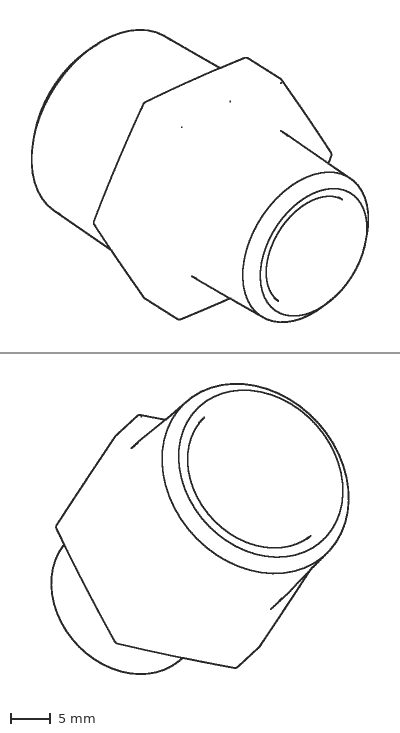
import cadquery as cq
import math

LENGTH = 41.0

EDGE_RADIUS = 0.5
END_CHAMFER = 1.55

RADIUS_TAPER = 1 / 32

HEX_WIDTH = 29.0
HEX_START = 17.8
HEX_END = 24.95
HEX_FACE_SLOPE = math.radians(5)
HEX_CORNER_RADIUS = HEX_WIDTH / math.sqrt(3)
HEX_MIDDLE = (HEX_START + HEX_END) / 2

LARGE_RADIUS = 13.32
LARGE_TAPER_END = 13.9

SMALL_RADIUS = 10.65
SMALL_TAPER_START = 27.43

LARGE_BORE_RADIUS = 9.95
SMALL_BORE_RADIUS = 7.5
BORE_STEP = HEX_MIDDLE


def revolve_about_x(profile):
    """Turn a closed XZ profile a full turn around the X axis."""
    return profile.close().revolve(360, (0, 0, 0), (1, 0, 0))


def male_end(end, taper_start, root, radius):
    """Chamfered end, tapered thread length and plain neck running up to root."""
    inward = math.copysign(1, root - end)
    chamfer_start = end + inward * END_CHAMFER
    tip_radius = radius - abs(taper_start - chamfer_start) * RADIUS_TAPER
    profile = (
        cq.Workplane("XZ")
        .moveTo(end, 0)
        .lineTo(end, tip_radius - END_CHAMFER)
        .lineTo(chamfer_start, tip_radius)
        .lineTo(taper_start, radius)
        .lineTo(root, radius)
        .lineTo(root, 0)
    )
    return revolve_about_x(profile)


def hexagon_collar():
    """Hexagon, flats up and down, with slightly conical end faces and rounded edges."""
    prism = (
        cq.Workplane("YZ")
        .workplane(offset=HEX_START - HEX_CORNER_RADIUS)
        .polygon(6, 2 * HEX_CORNER_RADIUS)
        .extrude(HEX_END - HEX_START + 2 * HEX_CORNER_RADIUS)
    )
    cone_rise = HEX_CORNER_RADIUS * math.tan(HEX_FACE_SLOPE)
    faces_profile = (
        cq.Workplane("XZ")
        .moveTo(HEX_START - cone_rise, 0)
        .lineTo(HEX_START, HEX_CORNER_RADIUS)
        .lineTo(HEX_END, HEX_CORNER_RADIUS)
        .lineTo(HEX_END + cone_rise, 0)
    )
    collar = prism.intersect(revolve_about_x(faces_profile))
    return collar.faces("%PLANE").edges().fillet(EDGE_RADIUS)


def stepped_bore():
    """Large bore up to the step, small bore onwards, with rounded mouths and step corners."""
    r = EDGE_RADIUS
    profile = (
        cq.Workplane("XZ")
        .lineTo(0, LARGE_BORE_RADIUS + r)
        .radiusArc((r, LARGE_BORE_RADIUS), -r)
        .lineTo(BORE_STEP - r, LARGE_BORE_RADIUS)
        .radiusArc((BORE_STEP, LARGE_BORE_RADIUS - r), r)
        .lineTo(BORE_STEP, SMALL_BORE_RADIUS + r)
        .radiusArc((BORE_STEP + r, SMALL_BORE_RADIUS), -r)
        .lineTo(LENGTH - r, SMALL_BORE_RADIUS)
        .radiusArc((LENGTH, SMALL_BORE_RADIUS + r), -r)
        .lineTo(LENGTH, 0)
    )
    return revolve_about_x(profile)


def neck_root_circles():
    """Selector for the two circles where the necks meet the hexagon collar."""
    reach = LARGE_RADIUS + EDGE_RADIUS / 2
    margin = 2 * EDGE_RADIUS
    return cq.selectors.BoxSelector(
        (HEX_START - margin, -reach, -reach),
        (HEX_END + margin, reach, reach),
        boundingbox=True,
    )


large_end = male_end(0, LARGE_TAPER_END, HEX_MIDDLE, LARGE_RADIUS)
small_end = male_end(LENGTH, SMALL_TAPER_START, HEX_MIDDLE, SMALL_RADIUS)
body = hexagon_collar().union(large_end).union(small_end)
body = body.edges(neck_root_circles()).fillet(EDGE_RADIUS)
result = body.cut(stepped_bore())